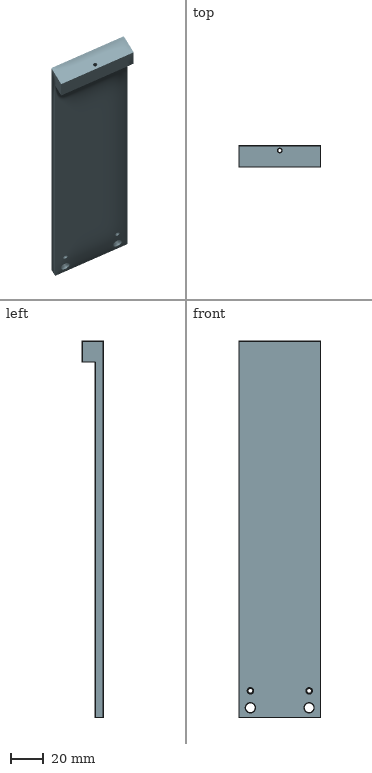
import cadquery as cq

width = 50.0
depth = 13.0
height = 230.0
plate_thickness = 5.0
head_height = 12.9

hole_spacing = 35.9
large_hole_diameter = 6.0
large_hole_height = 6.0
small_hole_diameter = 3.0
countersink_diameter = 4.0
countersink_angle = 90
small_hole_height = 16.3

head_hole_diameter = 2.5
head_hole_from_back = 3.0


def make_body():
    """Flat plate with a head overhanging its back face at the top."""
    plate = cq.Workplane("XY").box(width, plate_thickness, height, centered=(True, False, False))
    head = (
        cq.Workplane("XY", origin=(0, 0, height - head_height))
        .box(width, depth, head_height, centered=(True, False, False))
    )
    return plate.union(head)


def front_points(hole_height):
    """Mirrored pair of hole centres at one height."""
    return [(side * hole_spacing / 2, hole_height) for side in (-1, 1)]


result = make_body()

front = cq.Workplane("XZ")
large_holes = (
    front.pushPoints(front_points(large_hole_height))
    .circle(large_hole_diameter / 2)
    .extrude(-plate_thickness)
)
result = result.cut(large_holes)
result = (
    result.copyWorkplane(front)
    .pushPoints(front_points(small_hole_height))
    .cskHole(small_hole_diameter, countersink_diameter, countersink_angle, plate_thickness)
)

head_hole = (
    cq.Workplane("XY", origin=(0, depth - head_hole_from_back, height - head_height))
    .circle(head_hole_diameter / 2)
    .extrude(head_height)
)
result = result.cut(head_hole)